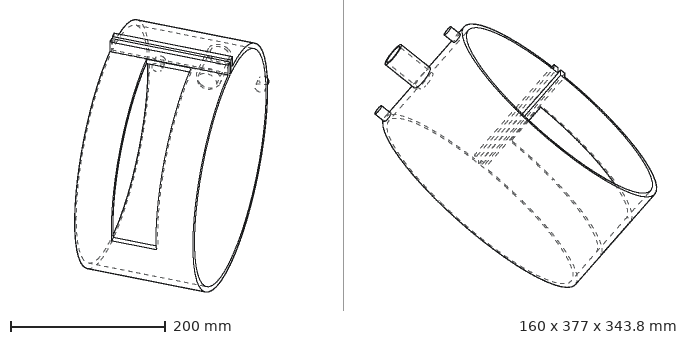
import cadquery as cq

band_width = 160.0
outer_radius = 164.0
wall = 7.0
inner_radius = outer_radius - wall

split_gap = 4.0
tab_thickness = wall
tab_top = 179.8

window_width = 60.3
window_start_y = -10.0
window_bottom_z = -20.0

stub_diameter = 33.0
bore_diameter = 26.0
stub_end = 213.0
pin_diameter = 14.0
pin_end = tab_top
pin_offset = 69.7


def cylinder_along_x(radius):
    return cq.Workplane("YZ", origin=(-band_width / 2, 0, 0)).circle(radius).extrude(band_width)


def cylinder_along_y(diameter, end, x=0):
    """Cylinder from the band axis out to y = end."""
    return cq.Workplane("XZ").center(x, 0).circle(diameter / 2).extrude(-end)


def limit_box(width, y_range, z_range):
    """Box centred on X between the given Y and Z limits."""
    y_low, y_high = y_range
    z_low, z_high = z_range
    return (
        cq.Workplane("XY")
        .box(width, y_high - y_low, z_high - z_low, centered=(True, False, False))
        .translate((0, y_low, z_low))
    )


tab_block_half = split_gap / 2 + tab_thickness
body = cylinder_along_x(outer_radius)
body = body.union(limit_box(band_width, (-tab_block_half, tab_block_half), (0, tab_top)))
body = body.union(cylinder_along_y(stub_diameter, stub_end))
for pin_x in (-pin_offset, pin_offset):
    body = body.union(cylinder_along_y(pin_diameter, pin_end, pin_x))

body = body.cut(cylinder_along_x(inner_radius))
body = body.cut(limit_box(band_width, (-split_gap / 2, split_gap / 2), (0, tab_top)))

body = body.cut(
    limit_box(window_width, (-outer_radius, window_start_y), (window_bottom_z, outer_radius))
)
body = body.cut(cylinder_along_y(bore_diameter, stub_end))

result = body